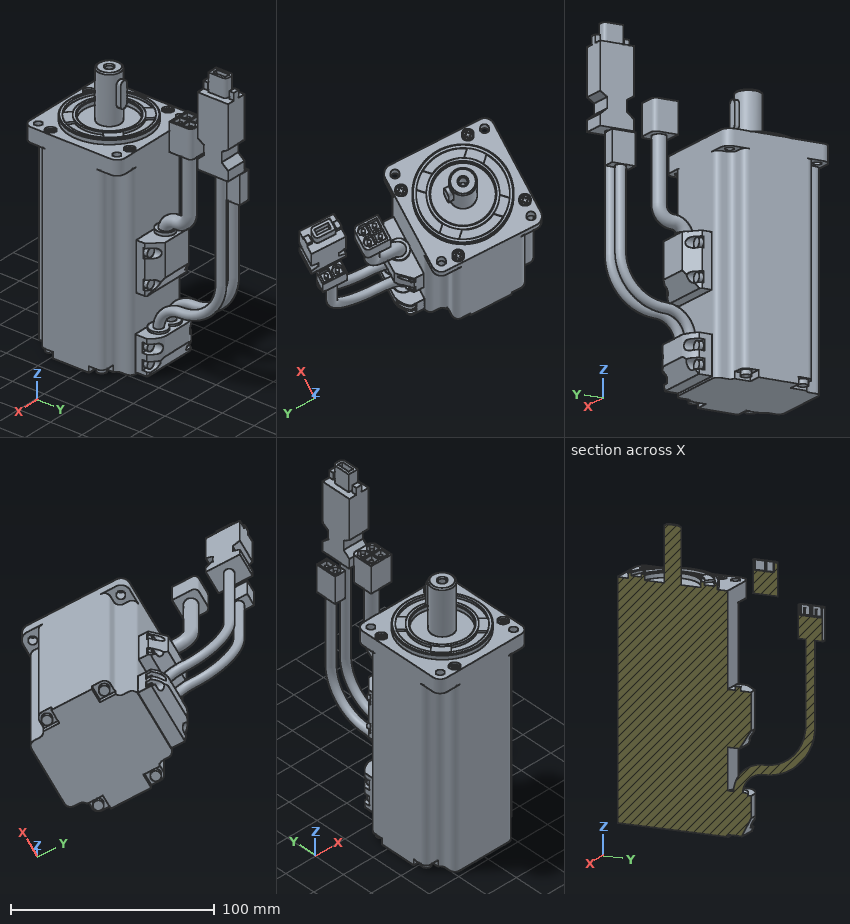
import cadquery as cq
import math


frame = 60.0
half_frame = frame / 2
flange_front_z = 125.5
flange_thickness = 9.0
flange_back_z = flange_front_z - flange_thickness
flange_corner_r = 5.0
mount_hole_d = 4.5
mount_hole_offset = 24.75
corner_notch = 10.0
notch_fillet_r = 3.5

screw_recess_d = 6.0
screw_recess_depth = 1.5
screw_head_d = 5.5
screw_head_sink = 0.7
screw_head_chamfer = 0.4
screw_cross_length = 3.0
screw_cross_width = 1.2
screw_cross_depth = 0.6
screw_far_offset = 25.9
screw_near_offset = 16.1

rear_pocket_height = 3.7
rear_pocket_x = 22.0
rear_pocket_y = 11.4
rear_head_bottom_z = 1.0

pilot_d = 50.0
pilot_height = 3.0
pilot_top_z = flange_front_z + pilot_height
pilot_chamfer = 0.5
ring_outer_d = 46.0
ring_inner_d = 36.0
ring_depth = 1.5
bridge_sink = 0.3
ring_bridge_width = 10.0
recess_d = 32.0

shaft_d = 14.0
shaft_length = 30.0
shaft_end_z = flange_front_z + shaft_length
shaft_chamfer = 0.8
centre_hole_d = 4.13
centre_hole_mouth_d = 5.5
centre_hole_depth = 12.0
key_width = 5.0
key_length = 16.0
key_bottom_z = 134.8
key_top_y = 9.2

cover_y = 42.7
cover_pocket_floor_y = 34.4
cover_pocket_width = 5.8
cover_screw_height = 2.5
collar_y = 35.4
collar_d = 10.98

upper_cover_half_width = 16.2
upper_cover_shoulder_y = 35.4
upper_cover_bottom_z = 45.7
upper_cover_top_z = 75.4
upper_cover_slope_y = 36.3
upper_cover_slope_z = 55.6
upper_collar_height = 2.0
upper_pocket_zs = (69.6, 51.7)

lower_cover_half_width = 16.9
lower_cover_shoulder_y = 37.3
lower_cover_bottom_z = 1.2
lower_cover_top_z = 22.6
lower_cover_slope_y = 37.6
lower_cover_slope_z = 11.2
lower_collar_height = 1.2
lower_pocket_zs = (16.6, 6.8)

cover_front_half_width = 9.3
cover_corner_bulge = 0.9
cover_pocket_x = 13.3

power_cable_d = 7.6
power_bend_r = 7.5
signal_cable_d = 5.5
signal_lower_bend_r = 14.0
signal_upper_bend_r = 25.4
brake_cable_x = -4.4
encoder_cable_x = 5.4
power_plug_y = collar_y + 2 * power_bend_r
signal_plug_y = collar_y + signal_lower_bend_r + signal_upper_bend_r

plug_height = 17.2
power_plug_bottom_z = 125.7
power_plug_size = 13.8
power_plug_corner_r = 2.6
brake_plug_bottom_z = 105.6
brake_plug_width = 6.9
brake_plug_length = 13.3
contact_pitch = 6.2
contact_cell = 5.2
contact_cell_depth = 5.0
contact_corner = 1.6
contact_pin_d = 2.0
contact_pin_sink = 1.0

encoder_width = 13.0
encoder_half_length = 9.6
encoder_waist_half_length = 5.6
encoder_bottom_z = 125.7
encoder_flare_z = 131.8
encoder_waist_bottom_z = 135.2
encoder_waist_top_z = 141.0
encoder_body_z = 143.6
encoder_shoulder_z = 169.4
encoder_top_z = 180.5
nose_width = 6.2
nose_length = 11.1
nose_corner_r = 2.0
socket_width = 3.0
socket_length = 7.6
socket_depth = 8.0
latch_width = 3.8
latch_thickness = 2.8
latch_top_z = 173.8


def cylinder(x, y, z, diameter, height):
    """Vertical cylinder standing on the point (x, y, z)."""
    return cq.Workplane("XY", origin=(x, y, z)).circle(diameter / 2).extrude(height)


def block(x0, x1, y0, y1, z0, z1):
    """Box given by its limits along each axis."""
    return cq.Workplane("XY").box(x1 - x0, y1 - y0, z1 - z0, centered=False).translate((x0, y0, z0))


def housing():
    """Extruded square body with a rounded L-shaped notch along each corner."""
    body = cq.Workplane("XY").rect(frame, frame).extrude(flange_back_z)
    notch_centre = half_frame - corner_notch / 2
    notches = (
        cq.Workplane("XY")
        .rect(2 * notch_centre, 2 * notch_centre, forConstruction=True)
        .vertices()
        .rect(corner_notch, corner_notch)
        .extrude(flange_back_z)
    )
    body = body.cut(notches).edges("|Z").fillet(notch_fillet_r)

    for side_x in (-1, 1):
        for side_y in (-1, 1):
            pocket = block(rear_pocket_x, half_frame, rear_pocket_y, half_frame, 0, rear_pocket_height)
            if side_x < 0:
                pocket = pocket.mirror("YZ")
            if side_y < 0:
                pocket = pocket.mirror("XZ")
            head = cylinder(
                side_x * screw_far_offset,
                side_y * screw_near_offset,
                rear_head_bottom_z,
                screw_head_d,
                rear_pocket_height - rear_head_bottom_z,
            )
            body = body.cut(pocket).union(head)
    return body


def flange_screw():
    """Screw head with a cross recess, placed on the +Y side of the flange."""
    floor_z = flange_front_z - screw_recess_depth
    head_top_z = flange_front_z - screw_head_sink
    head = cylinder(screw_near_offset, screw_far_offset, floor_z, screw_head_d, head_top_z - floor_z)
    head = head.faces(">Z").chamfer(screw_head_chamfer)
    cross_plane = cq.Workplane(
        "XY", origin=(screw_near_offset, screw_far_offset, head_top_z - screw_cross_depth)
    )
    arm_x = cross_plane.rect(screw_cross_length, screw_cross_width).extrude(screw_cross_depth)
    arm_y = cross_plane.rect(screw_cross_width, screw_cross_length).extrude(screw_cross_depth)
    return head.cut(arm_x).cut(arm_y)


def flange():
    """Square mounting flange with four through holes and four sunk screws."""
    plate = (
        cq.Workplane("XY", origin=(0, 0, flange_back_z))
        .rect(frame, frame)
        .extrude(flange_thickness)
        .edges("|Z")
        .fillet(flange_corner_r)
        .faces(">Z")
        .workplane()
        .rect(2 * mount_hole_offset, 2 * mount_hole_offset, forConstruction=True)
        .vertices()
        .hole(mount_hole_d)
    )
    recess = cylinder(
        screw_near_offset,
        screw_far_offset,
        flange_front_z - screw_recess_depth,
        screw_recess_d,
        screw_recess_depth,
    )
    screw = flange_screw()
    for angle in (0, 90, 180, 270):
        plate = plate.cut(recess.rotate((0, 0, 0), (0, 0, 1), angle))
        plate = plate.union(screw.rotate((0, 0, 0), (0, 0, 1), angle))
    return plate


def pilot():
    """Centring ring with a recess and a ring groove, deeper between its diagonal bridges."""
    disc = cylinder(0, 0, flange_front_z, pilot_d, pilot_height).faces(">Z").chamfer(pilot_chamfer)
    recess = cylinder(0, 0, flange_front_z, recess_d, pilot_height)
    disc = disc.cut(recess)
    disc = disc.faces(">Z").edges("%CIRCLE").edges(cq.selectors.RadiusNthSelector(0)).chamfer(pilot_chamfer)

    ring = (
        cq.Workplane("XY", origin=(0, 0, pilot_top_z - ring_depth))
        .circle(ring_outer_d / 2)
        .circle(ring_inner_d / 2)
        .extrude(ring_depth)
    )
    for angle in (45, 135):
        bridge = (
            cq.Workplane("XY", origin=(0, 0, pilot_top_z - ring_depth))
            .rect(pilot_d, ring_bridge_width)
            .extrude(ring_depth - bridge_sink)
            .rotate((0, 0, 0), (0, 0, 1), angle)
        )
        ring = ring.cut(bridge)
    return disc.cut(ring)


def shaft():
    """Output shaft with a centre hole in its end and a round-ended key."""
    rod = cylinder(0, 0, flange_front_z, shaft_d, shaft_length).faces(">Z").chamfer(shaft_chamfer)
    key = (
        cq.Workplane("XZ", origin=(0, 0, key_bottom_z + key_length / 2))
        .slot2D(key_length, key_width, 90)
        .extrude(-key_top_y)
    )
    hole = cylinder(0, 0, shaft_end_z - centre_hole_depth, centre_hole_d, centre_hole_depth)
    mouth_depth = (centre_hole_mouth_d - centre_hole_d) / 2
    mouth = (
        cq.Workplane("XY", origin=(0, 0, shaft_end_z))
        .circle(centre_hole_mouth_d / 2)
        .workplane(offset=-mouth_depth)
        .circle(centre_hole_d / 2)
        .loft()
    )
    return rod.union(key).cut(hole).cut(mouth)


def cover(half_width, shoulder_y, bulge, bottom_z, top_z, slope_y, slope_z, pocket_zs):
    """Terminal cover with sloped corners, a sloped bottom and four screws in pockets open to the side."""
    rise = cover_y - shoulder_y
    run = half_width - cover_front_half_width
    slant = math.hypot(rise, run)
    mid_x = (half_width + cover_front_half_width) / 2 + bulge * rise / slant
    mid_y = (shoulder_y + cover_y) / 2 + bulge * run / slant
    outline = cq.Workplane("XY", origin=(0, 0, bottom_z)).moveTo(-half_width, half_frame)
    outline = outline.lineTo(half_width, half_frame).lineTo(half_width, shoulder_y)
    if bulge > 0:
        outline = outline.threePointArc((mid_x, mid_y), (cover_front_half_width, cover_y))
        outline = outline.lineTo(-cover_front_half_width, cover_y)
        outline = outline.threePointArc((-mid_x, mid_y), (-half_width, shoulder_y))
    else:
        outline = outline.lineTo(cover_front_half_width, cover_y)
        outline = outline.lineTo(-cover_front_half_width, cover_y)
        outline = outline.lineTo(-half_width, shoulder_y)
    shell = outline.close().extrude(top_z - bottom_z)

    wedge = (
        cq.Workplane("YZ")
        .polyline([(slope_y, bottom_z), (cover_y, slope_z), (cover_y, bottom_z)])
        .close()
        .extrude(half_width, both=True)
    )
    shell = shell.cut(wedge)

    pocket_depth = cover_y - cover_pocket_floor_y
    slot_run = half_width
    for side in (-1, 1):
        for z in pocket_zs:
            seat = cq.Workplane("XZ", origin=(side * cover_pocket_x, cover_pocket_floor_y, z))
            pocket = (
                seat.pushPoints([(side * slot_run / 2, 0)])
                .slot2D(slot_run + cover_pocket_width, cover_pocket_width)
                .extrude(-pocket_depth)
            )
            head = seat.circle(screw_head_d / 2).extrude(-cover_screw_height)
            shell = shell.cut(pocket).union(head)
    return shell


def upper_cover():
    """Power terminal cover with one cable collar."""
    body = cover(
        upper_cover_half_width,
        upper_cover_shoulder_y,
        0,
        upper_cover_bottom_z,
        upper_cover_top_z,
        upper_cover_slope_y,
        upper_cover_slope_z,
        upper_pocket_zs,
    )
    return body.union(cylinder(0, collar_y, upper_cover_top_z, collar_d, upper_collar_height))


def lower_cover():
    """Signal terminal cover with one collar per cable."""
    body = cover(
        lower_cover_half_width,
        lower_cover_shoulder_y,
        cover_corner_bulge,
        lower_cover_bottom_z,
        lower_cover_top_z,
        lower_cover_slope_y,
        lower_cover_slope_z,
        lower_pocket_zs,
    )
    for x in (brake_cable_x, encoder_cable_x):
        body = body.union(cylinder(x, collar_y, lower_cover_top_z, collar_d, lower_collar_height))
    return body


def cable(x, start_z, lower_r, upper_r, end_z, diameter):
    """Cable leaving a cover upward, stepping out in an S-bend, then running straight up."""
    diagonal = math.sqrt(0.5)
    mid_y = collar_y + lower_r
    mid_z = start_z + lower_r
    end_y = mid_y + upper_r
    straight_z = mid_z + upper_r
    path = (
        cq.Workplane("YZ", origin=(x, 0, 0))
        .moveTo(collar_y, start_z)
        .threePointArc((mid_y - lower_r * diagonal, start_z + lower_r * diagonal), (mid_y, mid_z))
        .threePointArc((mid_y + upper_r * diagonal, straight_z - upper_r * diagonal), (end_y, straight_z))
        .lineTo(end_y, end_z)
    )
    return cq.Workplane("XY", origin=(x, collar_y, start_z)).circle(diameter / 2).sweep(path)


def contact(x, y, top_z, chamfered):
    """Return the cell to cut and the pin to add for one plug contact."""
    cell = (
        cq.Workplane("XY", origin=(x, y, top_z - contact_cell_depth))
        .rect(contact_cell, contact_cell)
        .extrude(contact_cell_depth)
    )
    if chamfered:
        cell = cell.edges("|Z").edges(chamfered).chamfer(contact_corner)
    pin = cylinder(x, y, top_z - contact_cell_depth, contact_pin_d, contact_cell_depth - contact_pin_sink)
    return cell, pin


def power_plug():
    """Plug with a 2 x 2 array of contacts; the outer row has chamfered cells."""
    top_z = power_plug_bottom_z + plug_height
    body = (
        cq.Workplane("XY", origin=(0, power_plug_y, power_plug_bottom_z))
        .rect(power_plug_size, power_plug_size)
        .extrude(plug_height)
        .edges("|Z and >Y")
        .fillet(power_plug_corner_r)
    )
    for side_x in (-1, 1):
        for side_y in (-1, 1):
            corners = ">Y" if side_y > 0 else None
            x = side_x * contact_pitch / 2
            y = power_plug_y + side_y * contact_pitch / 2
            cell, pin = contact(x, y, top_z, corners)
            body = body.cut(cell).union(pin)
    return body


def brake_plug():
    """Plug with two contacts in a row; the inner one has chamfered cell corners."""
    top_z = brake_plug_bottom_z + plug_height
    body = (
        cq.Workplane("XY", origin=(brake_cable_x, signal_plug_y, brake_plug_bottom_z))
        .rect(brake_plug_width, brake_plug_length)
        .extrude(plug_height)
    )
    for side_y in (-1, 1):
        corners = ">X" if side_y < 0 else None
        cell, pin = contact(brake_cable_x, signal_plug_y + side_y * contact_pitch / 2, top_z, corners)
        body = body.cut(cell).union(pin)
    return body


def encoder_connector():
    """Waisted connector body with a socketed nose and a latch at each end."""
    right_side = [
        (encoder_half_length, encoder_bottom_z),
        (encoder_half_length, encoder_flare_z),
        (encoder_waist_half_length, encoder_waist_bottom_z),
        (encoder_waist_half_length, encoder_waist_top_z),
        (encoder_half_length, encoder_body_z),
        (encoder_half_length, encoder_shoulder_z),
    ]
    left_side = [(-y, z) for y, z in reversed(right_side)]
    body = (
        cq.Workplane("YZ", origin=(encoder_cable_x, signal_plug_y, 0))
        .polyline(right_side + left_side)
        .close()
        .extrude(encoder_width / 2, both=True)
    )
    nose_top = cq.Workplane("XY", origin=(encoder_cable_x, signal_plug_y, encoder_shoulder_z))
    nose = (
        nose_top.rect(nose_width, nose_length)
        .extrude(encoder_top_z - encoder_shoulder_z)
        .edges("|Z and >Y")
        .fillet(nose_corner_r)
    )
    socket = (
        cq.Workplane("XY", origin=(encoder_cable_x, signal_plug_y, encoder_top_z - socket_depth))
        .rect(socket_width, socket_length)
        .extrude(socket_depth)
    )
    latch_y = encoder_half_length - latch_thickness / 2
    latches = (
        nose_top.pushPoints([(0, -latch_y), (0, latch_y)])
        .rect(latch_width, latch_thickness)
        .extrude(latch_top_z - encoder_shoulder_z)
    )
    return body.union(nose).cut(socket).union(latches)


power_cable = cable(
    0, upper_cover_top_z, power_bend_r, power_bend_r, power_plug_bottom_z, power_cable_d
)
brake_cable = cable(
    brake_cable_x,
    lower_cover_top_z,
    signal_lower_bend_r,
    signal_upper_bend_r,
    brake_plug_bottom_z,
    signal_cable_d,
)
encoder_cable = cable(
    encoder_cable_x,
    lower_cover_top_z,
    signal_lower_bend_r,
    signal_upper_bend_r,
    encoder_bottom_z,
    signal_cable_d,
)

result = (
    housing()
    .union(flange())
    .union(pilot())
    .union(shaft())
    .union(upper_cover())
    .union(lower_cover())
    .union(power_cable)
    .union(brake_cable)
    .union(encoder_cable)
    .union(power_plug())
    .union(brake_plug())
    .union(encoder_connector())
)